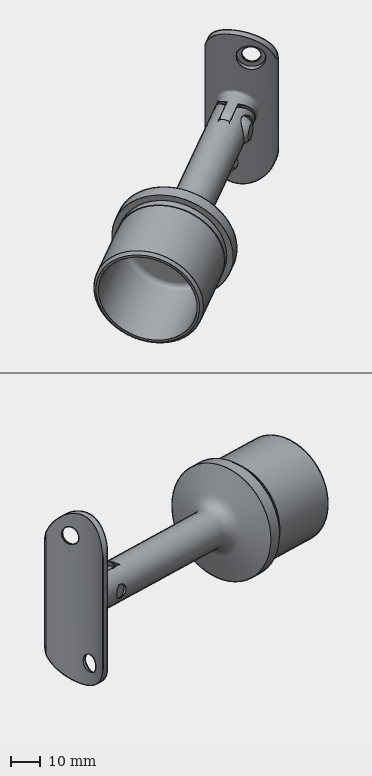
import cadquery as cq
import math


total_length = 114.3
stem_diameter = 14.0
stem_radius = stem_diameter / 2
pivot_y = 97.5
tongue_width = 3.9
swing_radius = 8.5
pin_diameter = 5.0

tube_diameter = 38.3
tube_bore_diameter = 34.5
tube_rim_chamfer = 1.0
cup_floor_y = 30.0
cup_floor_fillet = 2.0
relief_diameter = 38.0
relief_start_y = 27.1
flange_diameter = 42.4
flange_start_y = 30.0
flange_end_y = 34.6
cone_angle = 15.0
post_root_fillet = 5.3
prong_radius = 7.4
post_tip_y = pivot_y + prong_radius

plate_width = 25.4
plate_height = 63.0
plate_inner_radius = 21.3
plate_thickness = 2.5
plate_outer_radius = plate_inner_radius + plate_thickness
plate_bottom_y = 108.0
saddle_axis_y = plate_bottom_y + plate_outer_radius
plate_edge_fillet = 2.7
neck_fillet = 1.0

screw_hole_diameter = 6.5
screw_head_diameter = 10.0
screw_head_depth = 1.8
screw_offset_x = 4.7
screw_offset_z = 22.5

pin_end_x = -6.1
pin_head_diameter = 10.0
pin_head_recess_diameter = 10.5
pin_head_base_x = 3.8
pin_head_top_diameter = 6.0

clearance = 34.3


def rod_along_x(diameter, start_x, end_x):
    """Cylinder on the pivot axis."""
    return (
        cq.Workplane("YZ", origin=(start_x, pivot_y, 0))
        .circle(diameter / 2)
        .extrude(end_x - start_x)
    )


def make_turned_post():
    """Cup, flange, cone and post as one turned shape."""
    tube_radius = tube_diameter / 2
    flange_radius = flange_diameter / 2
    slope = math.radians(cone_angle)
    cone_tip_y = flange_end_y + (flange_radius - stem_radius) * math.tan(slope)

    turn = math.pi / 2 - slope
    tangent_length = post_root_fillet * math.tan(turn / 2)
    fillet_start = (
        stem_radius + tangent_length * math.cos(slope),
        cone_tip_y - tangent_length * math.sin(slope),
    )
    fillet_end = (stem_radius, cone_tip_y + tangent_length)
    fillet_middle = (
        stem_radius + post_root_fillet * (1 - math.cos(turn / 2)),
        fillet_end[1] - post_root_fillet * math.sin(turn / 2),
    )

    outside = (
        cq.Workplane("XY")
        .lineTo(tube_radius - tube_rim_chamfer, 0)
        .lineTo(tube_radius, tube_rim_chamfer)
        .lineTo(tube_radius, relief_start_y)
        .lineTo(relief_diameter / 2, relief_start_y)
        .lineTo(relief_diameter / 2, flange_start_y)
        .lineTo(flange_radius, flange_start_y)
        .lineTo(flange_radius, flange_end_y)
        .lineTo(*fillet_start)
        .threePointArc(fillet_middle, fillet_end)
        .lineTo(stem_radius, post_tip_y)
        .lineTo(0, post_tip_y)
        .close()
        .revolve(360, (0, 0, 0), (0, 1, 0))
    )
    cup_bore = (
        cq.Workplane("XZ")
        .circle(tube_bore_diameter / 2)
        .extrude(-cup_floor_y)
        .faces(">Y")
        .edges()
        .fillet(cup_floor_fillet)
    )
    return outside.cut(cup_bore)


def make_post():
    """Turned post with two round-ended prongs, the tongue slot and the bore for the pin."""
    half_slot = tongue_width / 2
    beside_prongs = (
        cq.Workplane("XY")
        .box(clearance, clearance, clearance, centered=(True, False, True))
        .translate((0, pivot_y, 0))
        .cut(rod_along_x(2 * prong_radius, -clearance, clearance))
    )
    slot = (
        cq.Workplane("XY")
        .box(tongue_width, clearance, 2 * swing_radius, centered=(True, False, True))
        .translate((0, pivot_y, 0))
        .union(rod_along_x(2 * swing_radius, -half_slot, half_slot))
    )
    pin_bore = rod_along_x(pin_diameter, -stem_radius, stem_radius)
    head_recess = rod_along_x(pin_head_recess_diameter, pin_head_base_x, 2 * stem_radius)
    return make_turned_post().cut(beside_prongs).cut(slot).cut(pin_bore).cut(head_recess)


def make_plate_blank():
    """Curved plate with rounded ends and softened long edges."""
    half_width = plate_width / 2
    inner_edge_x = math.sqrt(plate_inner_radius**2 - (saddle_axis_y - total_length) ** 2)
    outer_edge_y = saddle_axis_y - math.sqrt(plate_outer_radius**2 - half_width**2)
    blank = (
        cq.Workplane("XY")
        .moveTo(-half_width, total_length)
        .lineTo(-half_width, outer_edge_y)
        .threePointArc((0, plate_bottom_y), (half_width, outer_edge_y))
        .lineTo(half_width, total_length)
        .lineTo(inner_edge_x, total_length)
        .threePointArc((0, plate_bottom_y + plate_thickness), (-inner_edge_x, total_length))
        .close()
        .extrude(plate_height / 2, both=True)
    )
    long_edges = cq.selectors.BoxSelector(
        (-plate_width, outer_edge_y - 0.1, -1.1), (plate_width, outer_edge_y + 0.1, 1.1)
    )
    blank = blank.edges(long_edges).fillet(plate_edge_fillet)
    outline = (
        cq.Workplane("XZ")
        .slot2D(plate_height, plate_width, 90)
        .extrude(-2 * total_length)
    )
    return blank.intersect(outline)


def screw_cutter(side):
    """Counterbored screw hole, square to the curved plate; side is +1 or -1."""
    tilt = math.asin(screw_offset_x / plate_outer_radius)
    inward = (-side * math.sin(tilt), math.cos(tilt), 0)
    surface_point = (
        side * screw_offset_x,
        saddle_axis_y - plate_outer_radius * math.cos(tilt),
        side * screw_offset_z,
    )
    plane = cq.Plane(origin=surface_point, xDir=(0, 0, 1), normal=inward)
    hole = cq.Workplane(plane).circle(screw_hole_diameter / 2).extrude(2 * plate_thickness)
    head = (
        cq.Workplane(plane)
        .workplane(offset=-plate_thickness)
        .circle(screw_head_diameter / 2)
        .extrude(plate_thickness + screw_head_depth)
    )
    return hole.union(head)


def make_saddle():
    """Saddle plate with its neck, hollowed shoulders for the prongs and a round-ended tongue."""
    neck_root_y = plate_bottom_y + 0.7 * plate_thickness
    neck = (
        cq.Workplane("XZ", origin=(0, pivot_y, 0))
        .circle(stem_radius)
        .extrude(pivot_y - neck_root_y)
    )
    neck_joint = cq.selectors.BoxSelector(
        (-stem_radius, plate_bottom_y - 0.1, -stem_radius),
        (stem_radius, neck_root_y, stem_radius),
    )
    saddle = make_plate_blank().union(neck).edges(neck_joint).fillet(neck_fillet)
    tongue_end = cq.Workplane("XY").sphere(stem_radius).translate((0, pivot_y, 0))
    saddle = saddle.union(tongue_end)

    half_tongue = tongue_width / 2
    for side in (-1, 1):
        prong_space = rod_along_x(2 * swing_radius, half_tongue, stem_diameter)
        if side < 0:
            prong_space = prong_space.mirror("YZ")
        saddle = saddle.cut(prong_space).cut(screw_cutter(side))
    return saddle.cut(rod_along_x(pin_diameter, -half_tongue, half_tongue))


def make_pin():
    """Hinge pin with a domed head that ends in a flat."""
    dome_radius = pin_head_diameter / 2
    flat_radius = pin_head_top_diameter / 2
    dome_height = math.sqrt(dome_radius**2 - flat_radius**2)
    dome_side = dome_radius * math.sqrt(0.5)
    return (
        cq.Workplane("XY", origin=(0, pivot_y, 0))
        .moveTo(pin_end_x, 0)
        .lineTo(pin_end_x, pin_diameter / 2)
        .lineTo(pin_head_base_x, pin_diameter / 2)
        .lineTo(pin_head_base_x, dome_radius)
        .threePointArc(
            (pin_head_base_x + dome_side, dome_side),
            (pin_head_base_x + dome_height, flat_radius),
        )
        .lineTo(pin_head_base_x + dome_height, 0)
        .close()
        .revolve(360, (0, 0, 0), (1, 0, 0))
    )


post = make_post()
saddle = make_saddle()
pin = make_pin()

result = cq.Compound.makeCompound([post.solids().val(), saddle.solids().val(), pin.solids().val()])